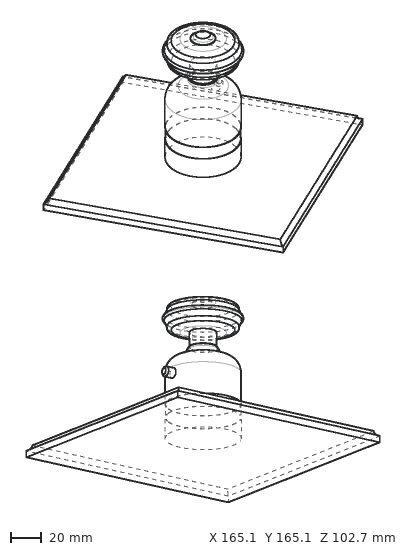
import cadquery as cq
import math

PLATE_SIDE = 165.1
PLATE_HEIGHT = 8.1
COVE_RADIUS = 3.6
COVE_INSET = 2.8

BODY_RADIUS = 25.0
BAND_RADIUS = 24.6
BAND_BOTTOM = 22.3
BAND_TOP = 31.2
SLEEVE_TOP = 52.8
DOME_TOP_RADIUS = 16.5
DOME_TOP = 63.4
FLARE_TOP_RADIUS = 10.4
FLARE_TOP = 68.5
LIP_RADIUS = 9.7
LIP_STEP = 69.8
LIP_TOP = 70.5
NECK_RADIUS = 8.9

KNOB_BOTTOM = 80.4
KNOB_THICKNESS = 19.2
KNOB_MIDDLE = KNOB_BOTTOM + KNOB_THICKNESS / 2
RIM_RADIUS = 26.5
RIM_EDGE_RADIUS = 25.5
RIM_HALF_WIDTH = 1.3
SHOULDER_RADIUS = 24.6
SHOULDER_OFFSET = 3.5
BEAD_INNER_RADIUS = 20.8
BEAD_OUTER_RADIUS = 23.6
BEAD_START_OFFSET = 5.5
BEAD_CROWN_RADIUS = 23.0
BEAD_CROWN_OFFSET = 7.8
BEAD_END_OFFSET = 8.0
FACE_RADIUS = 15.2
FACE_BULGE = 0.3

BUTTON_BASE_RADIUS = 8.3
BUTTON_BASE_TOP = 100.0
BUTTON_STEP_RADIUS = 6.5
BUTTON_STEP_TOP = 101.0
BUTTON_TOP_RADIUS = 4.8
OVERALL_HEIGHT = 102.7

PIN_RADIUS = 3.5
PIN_END = 32.0
PIN_CENTER_Z = 48.0
PIN_CHAMFER = 1.3


def make_plate():
    """Square slab whose upper edge is hollowed by a circular cove."""
    cove_axis = PLATE_SIDE / 2 - COVE_INSET + COVE_RADIUS
    slab = cq.Workplane("XY").box(PLATE_SIDE, PLATE_SIDE, PLATE_HEIGHT, centered=(True, True, False))
    cutter = (
        cq.Workplane("YZ", origin=(-cove_axis, 0, 0))
        .center(cove_axis, PLATE_HEIGHT)
        .circle(COVE_RADIUS)
        .extrude(2 * cove_axis)
    )
    for side in range(4):
        slab = slab.cut(cutter.rotate((0, 0, 0), (0, 0, 1), 90 * side))
    return slab


def make_body():
    """Solid of revolution from the plate up into the knob."""
    profile = (
        cq.Workplane("XZ")
        .lineTo(BODY_RADIUS, 0)
        .lineTo(BODY_RADIUS, BAND_BOTTOM)
        .lineTo(BAND_RADIUS, BAND_BOTTOM)
        .lineTo(BAND_RADIUS, BAND_TOP)
        .lineTo(BODY_RADIUS, BAND_TOP)
        .lineTo(BODY_RADIUS, SLEEVE_TOP)
        .tangentArcPoint((DOME_TOP_RADIUS, DOME_TOP), relative=False)
        .tangentArcPoint((FLARE_TOP_RADIUS, FLARE_TOP), relative=False)
        .lineTo(LIP_RADIUS, LIP_STEP)
        .lineTo(NECK_RADIUS, LIP_TOP)
        .lineTo(NECK_RADIUS, KNOB_MIDDLE)
        .lineTo(0, KNOB_MIDDLE)
        .close()
    )
    return profile.revolve(360, (0, 0, 0), (0, 1, 0))


def make_knob_half():
    """Upper half of the knob, from the middle of the rim to the flat face."""
    rim_drop = RIM_RADIUS - RIM_EDGE_RADIUS
    rim_arc_radius = (rim_drop**2 + RIM_HALF_WIDTH**2) / (2 * rim_drop)
    rim_half_angle = math.asin(RIM_HALF_WIDTH / rim_arc_radius) / 2
    rim_mid = (
        RIM_RADIUS - rim_arc_radius * (1 - math.cos(rim_half_angle)),
        rim_arc_radius * math.sin(rim_half_angle),
    )
    face_offset = KNOB_THICKNESS / 2
    face_mid = ((BEAD_INNER_RADIUS + FACE_RADIUS) / 2, (BEAD_END_OFFSET + face_offset) / 2 + FACE_BULGE)
    profile = (
        cq.Workplane("XZ", origin=(0, 0, KNOB_MIDDLE))
        .lineTo(RIM_RADIUS, 0)
        .threePointArc(rim_mid, (RIM_EDGE_RADIUS, RIM_HALF_WIDTH))
        .threePointArc((SHOULDER_RADIUS, SHOULDER_OFFSET), (BEAD_OUTER_RADIUS, BEAD_START_OFFSET))
        .threePointArc((BEAD_CROWN_RADIUS, BEAD_CROWN_OFFSET), (BEAD_INNER_RADIUS, BEAD_END_OFFSET))
        .threePointArc(face_mid, (FACE_RADIUS, face_offset))
        .lineTo(0, face_offset)
        .close()
    )
    return profile.revolve(360, (0, 0, 0), (0, 1, 0))


def make_button():
    """Disk with a bevelled shoulder and a bevelled cap, rising from the knob."""
    profile = (
        cq.Workplane("XZ")
        .moveTo(0, KNOB_MIDDLE)
        .lineTo(BUTTON_BASE_RADIUS, KNOB_MIDDLE)
        .lineTo(BUTTON_BASE_RADIUS, BUTTON_BASE_TOP)
        .lineTo(BUTTON_STEP_RADIUS, BUTTON_STEP_TOP)
        .lineTo(BUTTON_TOP_RADIUS, OVERALL_HEIGHT)
        .lineTo(0, OVERALL_HEIGHT)
        .close()
    )
    return profile.revolve(360, (0, 0, 0), (0, 1, 0))


def make_pin():
    """Chamfered round pin running from the body axis out through its +Y side."""
    return (
        cq.Workplane("XZ", origin=(0, 0, PIN_CENTER_Z))
        .circle(PIN_RADIUS)
        .extrude(-PIN_END)
        .faces(">Y")
        .chamfer(PIN_CHAMFER)
    )


upper_knob = make_knob_half()
lower_knob = upper_knob.mirror("XY", (0, 0, KNOB_MIDDLE))

result = make_plate()
for piece in (make_body(), upper_knob, lower_knob, make_button(), make_pin()):
    result = result.union(piece)